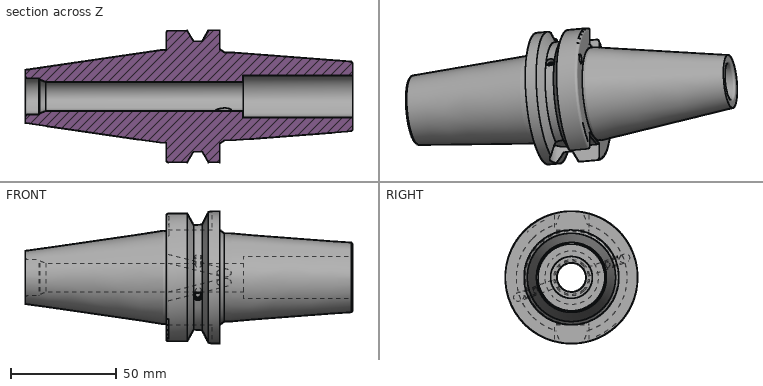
import cadquery as cq
import math

total_length = 155.4
gauge_plane = 65.5
flange_start = 66.8
groove_centre = 81.9
flange_end = 92.3
neck_start = 94.5
nose_taper_start = 97.7

gauge_radius = 22.2
taper_slope = 7 / 48
small_end_radius = gauge_radius - gauge_plane * taper_slope
relief_radius = 22.0
flange_radius = 63.0 / 2
shoulder_radius = 22.5
neck_radius = 21.0
nose_radius = 16.6

flange_edge_round = 1.2
nose_chamfer = 0.8

groove_radius = 26.3
groove_floor_half = 2.0
groove_half_angle = math.radians(30)
groove_rim_half = groove_floor_half + (flange_radius - groove_radius) * math.tan(groove_half_angle)

slot_width = 16.5
slot_end = 88.6
slot_floor = 22.5
slot_edge_length = 1.1

pilot_radius = 8.5
pilot_round = 1.1
pilot_depth = 6.4
step_radius = 8.0
step_depth = 7.0
through_radius = 6.8
through_start = 9.6
tool_bore_radius = 10.0
tool_bore_depth = 52.0
tool_bore_start = total_length - tool_bore_depth

coolant_tilt = 20
channel_radius = 2.0
channel_entry_radius = 26.7
channel_angle = math.radians(36)
channel_overrun = 3.1
screw_hole_radius = 2.0
screw_hole_floor = 23.8
screw_pilot_radius = 1.4

axis_start = (0, 0, 0)
axis_end = (1, 0, 0)
cos_45 = math.sqrt(0.5)


def turned(profile):
    return profile.close().revolve(360, axis_start, axis_end)


def holder_body():
    """Taper, grooved flange and tapered nose, turned about X."""
    round_inset = flange_edge_round * (1 - cos_45)
    return turned(
        cq.Workplane("XY")
        .lineTo(0, small_end_radius)
        .lineTo(gauge_plane, gauge_radius)
        .lineTo(flange_start, relief_radius)
        .lineTo(flange_start, flange_radius - flange_edge_round)
        .threePointArc(
            (flange_start + round_inset, flange_radius - round_inset),
            (flange_start + flange_edge_round, flange_radius),
        )
        .lineTo(groove_centre - groove_rim_half, flange_radius)
        .lineTo(groove_centre - groove_floor_half, groove_radius)
        .lineTo(groove_centre + groove_floor_half, groove_radius)
        .lineTo(groove_centre + groove_rim_half, flange_radius)
        .lineTo(flange_end, flange_radius)
        .lineTo(flange_end, shoulder_radius)
        .lineTo(neck_start, neck_radius)
        .lineTo(nose_taper_start, neck_radius)
        .lineTo(total_length - nose_chamfer, nose_radius)
        .lineTo(total_length, nose_radius - nose_chamfer)
        .lineTo(total_length, 0)
    )


def bore():
    """Pilot with a rounded mouth, through hole and tool bore, turned about X."""
    round_inset = pilot_round * (1 - cos_45)
    return turned(
        cq.Workplane("XY")
        .lineTo(0, pilot_radius + pilot_round)
        .threePointArc((round_inset, pilot_radius + round_inset), (pilot_round, pilot_radius))
        .lineTo(pilot_depth, pilot_radius)
        .lineTo(step_depth, step_radius)
        .lineTo(through_start, through_radius)
        .lineTo(tool_bore_start, through_radius)
        .lineTo(tool_bore_start, tool_bore_radius)
        .lineTo(total_length, tool_bore_radius)
        .lineTo(total_length, 0)
    )


def drive_slot():
    """Round-ended slot above the axis, open towards the taper, with its floor edge bevelled."""
    end_radius = slot_width / 2
    end_centre = slot_end - end_radius
    slot = (
        cq.Workplane("XY", origin=(0, 0, slot_floor))
        .moveTo(flange_start, -end_radius)
        .lineTo(end_centre, -end_radius)
        .threePointArc((slot_end, 0), (end_centre, end_radius))
        .lineTo(flange_start, end_radius)
        .close()
        .extrude(flange_radius - slot_floor)
    )
    floor_bevel = (
        cq.Workplane("XZ")
        .moveTo(flange_start, relief_radius)
        .lineTo(flange_start + slot_edge_length, slot_floor)
        .lineTo(flange_start, slot_floor)
        .close()
        .extrude(end_radius, both=True)
    )
    return slot.union(floor_bevel)


def drilled(start, direction, radius, length):
    return cq.Workplane(cq.Solid.makeCylinder(radius, length, cq.Vector(*start), cq.Vector(*direction)))


def coolant_channel():
    """Inclined hole from the flange face on the +Y side into the bore."""
    run = math.cos(channel_angle)
    drop = math.sin(channel_angle)
    start = (flange_start - channel_overrun * run, channel_entry_radius + channel_overrun * drop, 0)
    length = channel_overrun + (channel_entry_radius - through_radius / 2) / drop
    return drilled(start, (run, -drop, 0), channel_radius, length)


def screw_hole():
    """Stepped radial hole from the groove floor on the +Y side down to the coolant channel."""
    outward = (0, 1, 0)
    channel_depth = (groove_centre - flange_start) * math.tan(channel_angle)
    pilot_bottom = channel_entry_radius - channel_depth
    hole = drilled(
        (groove_centre, screw_hole_floor, 0), outward, screw_hole_radius, flange_radius - screw_hole_floor
    )
    pilot = drilled(
        (groove_centre, pilot_bottom, 0), outward, screw_pilot_radius, flange_radius - pilot_bottom
    )
    return hole.union(pilot)


result = holder_body().cut(bore())
for half_turn in (0, 180):
    coolant_turn = coolant_tilt + half_turn
    result = result.cut(drive_slot().rotate(axis_start, axis_end, half_turn))
    result = result.cut(coolant_channel().rotate(axis_start, axis_end, coolant_turn))
    result = result.cut(screw_hole().rotate(axis_start, axis_end, coolant_turn))